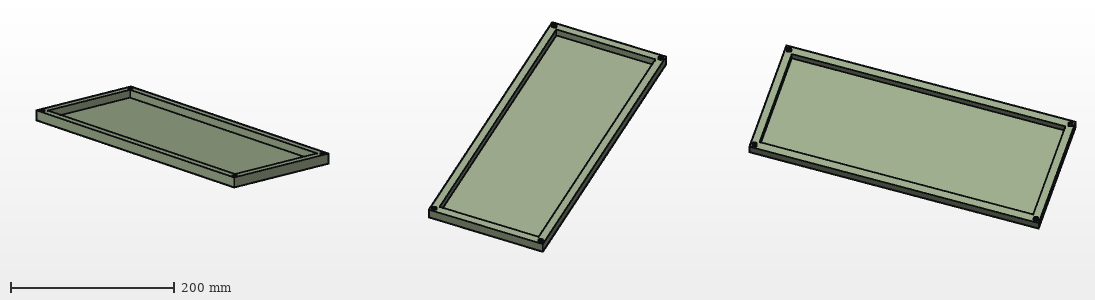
import cadquery as cq

length = 371.0
width = 153.0
height = 13.0

rim = 10.0
pocket_depth = 10.0

hole_diameter = 3.4
counterbore_diameter = 6.0
counterbore_depth = 1.5
hole_inset = rim / 2


def make_tray():
    """Rectangular block with a flat-floored pocket open at the top."""
    block = cq.Workplane("XY").box(length, width, height, centered=(True, True, False))
    return (
        block.faces(">Z")
        .workplane()
        .rect(length - 2 * rim, width - 2 * rim)
        .cutBlind(-pocket_depth)
    )


def add_corner_holes(tray):
    """Drill a counterbored through hole in each corner of the rim."""
    return (
        tray.faces(">Z")
        .workplane(origin=(0, 0, height))
        .rect(length - 2 * hole_inset, width - 2 * hole_inset, forConstruction=True)
        .vertices()
        .cboreHole(hole_diameter, counterbore_diameter, counterbore_depth)
    )


result = add_corner_holes(make_tray())